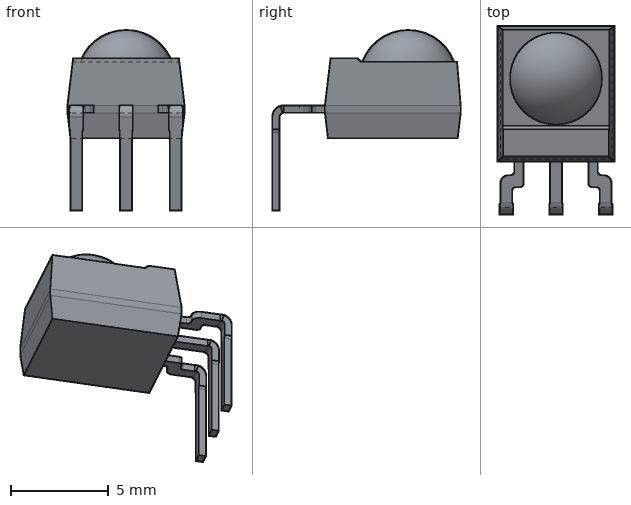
import cadquery as cq
import math


body_width = 6.0
body_length = 6.96
ridge_top = 2.41
lens_floor = 2.23
body_bottom = -1.69
upper_side_inset = 0.29
upper_back_inset = 0.2
lower_inset = 0.15
ridge_back = 1.68
ridge_slope_run = ridge_top - lens_floor

lens_y = 4.27
lens_base_radius = 2.35
lens_height = 1.63

lead_thickness = 0.39
lead_width = 0.62
wide_width = 0.71
lead_pitch = 2.54
lead_reach = 2.69
lead_bottom = -5.39
bend_inner_radius = 0.21
bend_outer_radius = bend_inner_radius + lead_thickness
bend_y = bend_outer_radius - lead_reach
bend_angle = 90.0
flare_angle = 17.0
flare_margin = 0.1
taper_top = -1.23
taper_bottom = -1.39

root_inner_x = 1.66
root_outer_x = 2.14
jog_back_y = -0.68
jog_front_y = -1.3
jog_radius = 0.19
jog_inner_radius = 0.15
jog_outer_radius = 0.41


def tapered_block(z_start, z_end, side_inset, front_inset, back_inset):
    """Block from the full outline at z_start to an inset outline at z_end."""
    half_width = body_width / 2
    full = [(-half_width, 0), (half_width, 0), (half_width, body_length), (-half_width, body_length)]
    end_half = half_width - side_inset
    end_back = body_length - back_inset
    inset = [(-end_half, front_inset), (end_half, front_inset), (end_half, end_back), (-end_half, end_back)]
    return (
        cq.Workplane("XY", origin=(0, 0, z_start)).polyline(full).close()
        .workplane(offset=z_end - z_start).polyline(inset).close()
        .loft(ruled=True)
    )


def make_lens():
    """Spherical cap that rests on the recessed top face."""
    radius = (lens_base_radius**2 + lens_height**2) / (2 * lens_height)
    center_z = lens_floor + lens_height - radius
    ball = cq.Workplane("XY", origin=(0, lens_y, center_z)).sphere(radius)
    keep = cq.Workplane("XY", origin=(0, lens_y, center_z)).circle(lens_base_radius).extrude(2 * radius)
    return ball.intersect(keep)


def make_housing():
    """Moulded housing with its straight middle band, front ridge and lens."""
    upper = tapered_block(0, ridge_top, upper_side_inset, upper_side_inset, upper_back_inset)
    band = (
        cq.Workplane("XY", origin=(0, body_length / 2, -lead_thickness))
        .rect(body_width, body_length).extrude(lead_thickness)
    )
    lower = tapered_block(-lead_thickness, body_bottom, lower_inset, lower_inset, lower_inset)
    recess = (
        cq.Workplane("YZ")
        .moveTo(ridge_back, ridge_top)
        .lineTo(ridge_back + ridge_slope_run, lens_floor)
        .lineTo(body_length, lens_floor)
        .lineTo(body_length, ridge_top)
        .close().extrude(body_width / 2, both=True)
    )
    return upper.cut(recess).union(band).union(lower).union(make_lens())


def straight_arm():
    """Horizontal arm of the middle lead."""
    return (
        cq.Workplane("XY", origin=(0, bend_y / 2, -lead_thickness))
        .rect(lead_width, -bend_y).extrude(lead_thickness)
    )


def jogged_arm():
    """Horizontal arm of the +X lead, stepping outward between the housing and the bend."""
    inner_x = lead_pitch - lead_width / 2
    outer_x = lead_pitch + lead_width / 2
    outline = [
        (root_inner_x, 0), (root_outer_x, 0), (root_outer_x, jog_back_y), (outer_x, jog_back_y),
        (outer_x, bend_y), (inner_x, bend_y), (inner_x, jog_front_y), (root_inner_x, jog_front_y),
    ]
    arm = cq.Workplane("XY", origin=(0, 0, -lead_thickness)).polyline(outline).close().extrude(lead_thickness)

    def edge_at(x, y):
        return cq.selectors.NearestToPointSelector((x, y, -lead_thickness / 2))

    corners = [
        (root_outer_x, jog_back_y, jog_radius),
        (root_inner_x, jog_front_y, jog_radius),
        (inner_x, jog_front_y, jog_inner_radius),
        (outer_x, jog_back_y, jog_outer_radius),
    ]
    for x, y, radius in corners:
        arm = arm.edges("|Z").edges(edge_at(x, y)).fillet(radius)
    return arm


def bend_section(angle, width, inner_radius=bend_inner_radius, outer_radius=bend_outer_radius):
    """Rectangular cross-section of the bend, at an angle from its start."""
    turn = math.radians(angle)
    half_width = width / 2
    corners = []
    for radius, x in [
        (inner_radius, -half_width), (inner_radius, half_width),
        (outer_radius, half_width), (outer_radius, -half_width),
    ]:
        y = bend_y - radius * math.sin(turn)
        z = -bend_outer_radius + radius * math.cos(turn)
        corners.append(cq.Vector(x, y, z))
    return cq.Wire.makePolygon(corners, close=True)


def wide_bend(start_angle, end_angle):
    """Piece of the round bend at its full width."""
    axis_start = cq.Vector(0, bend_y, -bend_outer_radius)
    axis_end = axis_start + cq.Vector(0.1, 0, 0)
    section = bend_section(start_angle, wide_width)
    return cq.Workplane(cq.Solid.revolve(section, [], end_angle - start_angle, axis_start, axis_end))


def make_bend():
    """Quarter bend that flares from the arm width to the wide width."""
    envelope_inner = bend_inner_radius - flare_margin
    envelope_outer = bend_outer_radius + flare_margin
    envelope = cq.Solid.makeLoft(
        [
            bend_section(0, lead_width, envelope_inner, envelope_outer),
            bend_section(flare_angle, wide_width, envelope_inner, envelope_outer),
        ],
        True,
    )
    flare = wide_bend(0, flare_angle).intersect(cq.Workplane(envelope))
    return flare.union(wide_bend(flare_angle, bend_angle)).clean()


def make_leg():
    """Vertical leg: wide at the top, curving in to the lead width."""
    half_wide = wide_width / 2
    half_narrow = lead_width / 2
    step = half_wide - half_narrow
    taper_length = taper_top - taper_bottom
    arc_radius = (taper_length**2 + step**2) / (2 * step)
    half_angle = math.asin(taper_length / arc_radius) / 2
    mid_x = half_narrow + arc_radius * (1 - math.cos(half_angle))
    mid_z = taper_bottom + arc_radius * math.sin(half_angle)
    return (
        cq.Workplane("XZ", origin=(0, lead_thickness - lead_reach, 0))
        .moveTo(-half_wide, -bend_outer_radius)
        .lineTo(half_wide, -bend_outer_radius)
        .lineTo(half_wide, taper_top)
        .threePointArc((mid_x, mid_z), (half_narrow, taper_bottom))
        .lineTo(half_narrow, lead_bottom)
        .lineTo(-half_narrow, lead_bottom)
        .lineTo(-half_narrow, taper_bottom)
        .threePointArc((-mid_x, mid_z), (-half_wide, taper_top))
        .close().extrude(lead_thickness)
    )


def make_lead(side):
    """One lead: side is -1, 0 or 1 for the -X, middle and +X lead."""
    if side == 0:
        arm = straight_arm()
    else:
        arm = jogged_arm()
    if side < 0:
        arm = arm.mirror("YZ")
    tail = make_bend().union(make_leg()).translate((side * lead_pitch, 0, 0))
    return arm.union(tail)


housing = make_housing()
leads = [make_lead(side) for side in (-1, 0, 1)]

result = cq.Compound.makeCompound([body.solids().val() for body in [housing, *leads]])